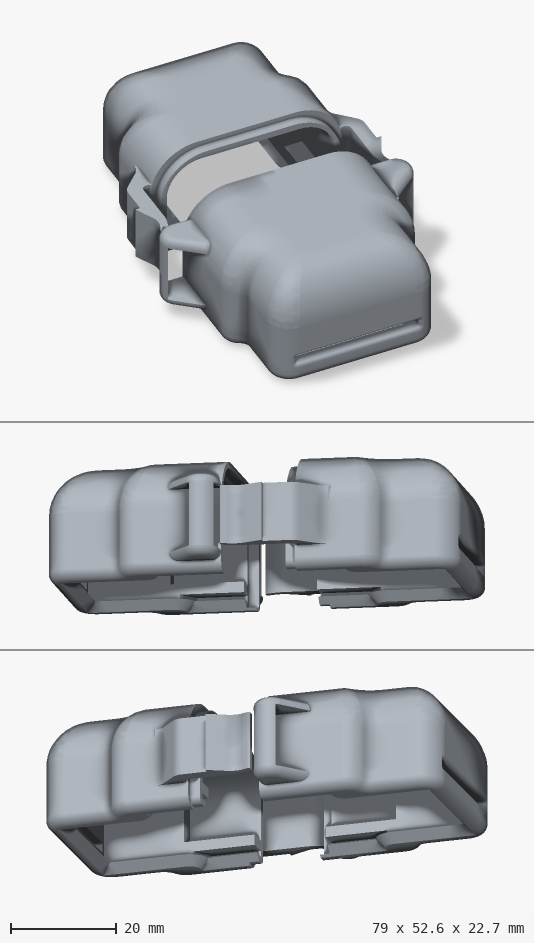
import cadquery as cq
import math


height = 22.7
end_x = 39.5
wide_half = 20.1
narrow_half = 16.9
neck_x = 26.7
neck_radius = 1.9
shoulder_radius = 3.9
end_corner_radius = 4.5
top_radius = 9.8
bottom_radius = 2.0
spring_z = height - top_radius

wall = 2.5
cavity_wide_half = wide_half - wall
cavity_wide_end = 21.1
cavity_top_radius = top_radius - wall
cavity_narrow_half = 13.9
cavity_end = end_x - wall
ledge_z = 5.0
groove_top = 2.9
groove_floor = 1.8
groove_end = 20.4
groove_corner = 5.1

flare = groove_floor
opening_wide_half = 17.0
opening_narrow_half = 13.7
opening_step_x = 18.3
opening_step_radius = 2.4
opening_end = cavity_end

slot_half = 12.95
slot_bottom = 4.3
slot_top = 6.15
slot_corner_radius = 0.4
slot_rim_radius = 0.7

catch_rim_x = 5.05
latch_rim_x = 9.0
lip_length = 2.0
lip_inset = 1.2
lip_bottom = 0.5
lip_bottom_radius = 1.3
recess_depth = 2.0
lip_half = wide_half - lip_inset
lip_top = height - lip_inset

arm_bottom = 4.35
arm_top = 15.55
arm_outer_y = 24.8
arm_inner_y = 21.8
arm_root_x = 9.5
arm_slope_foot_x = 14.5
arm_bend_radius = 2.5
arm_inner_radius = 1.0
arm_root_depth = 0.4
barb_x = 3.7
barb_height = 1.0
arm_tip_x = -4.6

loop_bottom = 2.05
loop_top = 17.85
loop_edge_radius = 1.65
loop_nose_radius = 3.3
loop_nose_y = 23.0
loop_slope_angle = 50.0
loop_foot_x = 15.15
loop_root_y = 16.6
window_bottom = 3.8
window_top = 16.0
window_front_y = 24.7
window_rear_y = 25.7
window_rear_x = 10.0

SIDES = (-1, 1)


def block(x0, x1, half, z0, z1):
    """Box symmetrical about the XZ plane."""
    return cq.Workplane("XY").box(x1 - x0, 2 * half, z1 - z0, centered=False).translate((x0, -half, z0))


def near_corner(body, x, y, z):
    """The vertical edge of a body nearest to a point."""
    return body.edges("|Z").edges(cq.NearestToPointSelector((x, y, z))).vals()


def shell_blank(rim_x):
    """Solid outside shape of a housing."""
    shoulder_x = neck_x - math.sqrt(neck_radius**2 - (narrow_half + neck_radius - wide_half) ** 2)
    body = (
        cq.Workplane("XY")
        .moveTo(rim_x, -wide_half)
        .lineTo(shoulder_x, -wide_half)
        .radiusArc((neck_x, -narrow_half), neck_radius)
        .lineTo(end_x, -narrow_half)
        .lineTo(end_x, narrow_half)
        .lineTo(neck_x, narrow_half)
        .radiusArc((shoulder_x, wide_half), neck_radius)
        .lineTo(rim_x, wide_half)
        .close()
        .extrude(height)
    )
    body = body.faces(">Z").edges("not <X").fillet(top_radius)
    for x, half, radius in (
        (shoulder_x, wide_half, shoulder_radius),
        (end_x, narrow_half, end_corner_radius),
    ):
        for side in SIDES:
            edge = near_corner(body, x, side * half, spring_z / 2)
            body = body.newObject(edge).fillet(radius)
    return body.faces("<Z").edges("not <X").fillet(bottom_radius)


def narrow_cavity(rim_x):
    """Straight channel along the housing, rounded at the top of its sides and end."""
    channel = block(rim_x, cavity_end, cavity_narrow_half, groove_floor, height - wall)
    return channel.faces(">Z").edges("not <X").fillet(cavity_top_radius)


def wide_cavity(rim_x):
    """Pocket above the side ledges."""
    pocket = block(rim_x, cavity_wide_end, cavity_wide_half, ledge_z, height - wall)
    return pocket.faces(">Z").edges("|X").fillet(cavity_top_radius)


def ledge_groove(rim_x):
    """Groove between the side ledges and the bottom plate."""
    groove = block(rim_x, groove_end, cavity_wide_half, groove_floor, groove_top)
    return groove.edges("|Z and >X").chamfer(groove_corner, cavity_wide_half - cavity_narrow_half)


def bottom_opening(rim_x):
    """Flared opening through the bottom plate and the rim."""
    start_x = rim_x - lip_length - 2 * flare
    plan = (
        cq.Workplane("XY")
        .moveTo(start_x, -opening_wide_half)
        .lineTo(opening_step_x, -opening_wide_half)
        .lineTo(opening_step_x, -opening_narrow_half - opening_step_radius)
        .radiusArc((opening_step_x + opening_step_radius, -opening_narrow_half), opening_step_radius)
        .lineTo(opening_end, -opening_narrow_half)
        .lineTo(opening_end, opening_narrow_half)
        .lineTo(opening_step_x + opening_step_radius, opening_narrow_half)
        .radiusArc((opening_step_x, opening_narrow_half + opening_step_radius), opening_step_radius)
        .lineTo(opening_step_x, opening_wide_half)
        .lineTo(start_x, opening_wide_half)
        .close()
    )
    return plan.extrude(flare, taper=45)


def cut_end_slot(body):
    """Cut the slot through the closed end and round its outer rim."""
    passage = block(cavity_end - wall, end_x + wall, slot_half, slot_bottom, slot_top)
    body = body.cut(passage.edges("|X").fillet(slot_corner_radius))
    rim_zone = cq.selectors.BoxSelector(
        (end_x - slot_rim_radius / 2, -slot_half - slot_rim_radius / 2, slot_bottom - slot_rim_radius / 2),
        (end_x + slot_rim_radius / 2, slot_half + slot_rim_radius / 2, slot_top + slot_rim_radius / 2),
    )
    return body.edges(rim_zone).fillet(slot_rim_radius)


def hollow_out(body, front_x, rim_x):
    """Cut the cavity, bottom opening and end slot; the cavity starts at front_x."""
    for cutter in (
        wide_cavity(front_x),
        narrow_cavity(front_x),
        ledge_groove(front_x),
        bottom_opening(rim_x),
    ):
        body = body.cut(cutter)
    return cut_end_slot(body)


def rim_plug(x0, x1, radius):
    """Solid lip shape; also cuts the recess that receives it."""
    plug = block(x0, x1, lip_half, lip_bottom, lip_top)
    plug = plug.faces(">Z").edges("|X").fillet(radius)
    return plug.faces("<Z").edges("|X").fillet(lip_bottom_radius)


def arm():
    """Spring arm on the +Y side, drawn as a plan outline and extruded upwards."""
    bend_run = arm_bend_radius * math.tan(math.radians(22.5))
    bend_leg = bend_run * math.sqrt(0.5)
    bend_x = arm_slope_foot_x - (arm_outer_y - wide_half)
    bend_mid = (
        bend_x - bend_run + arm_bend_radius * math.sin(math.radians(22.5)),
        arm_outer_y - arm_bend_radius * (1 - math.cos(math.radians(22.5))),
    )
    foot_mid = (
        arm_slope_foot_x + bend_run - arm_bend_radius * math.sin(math.radians(22.5)),
        wide_half + arm_bend_radius * (1 - math.cos(math.radians(22.5))),
    )
    root_y = wide_half - arm_root_depth
    outline = (
        cq.Workplane("XY", origin=(0, 0, arm_bottom))
        .moveTo(latch_rim_x, root_y)
        .lineTo(arm_root_x, wide_half)
        .lineTo(arm_root_x, arm_inner_y - arm_inner_radius)
        .radiusArc((arm_root_x - arm_inner_radius, arm_inner_y), -arm_inner_radius)
        .lineTo(-1.2, arm_inner_y)
        .threePointArc((-3.0, 22.3), (arm_tip_x, 23.0))
        .lineTo(arm_tip_x, 24.15)
        .lineTo(-4.2, 24.3)
        .lineTo(-3.3, 24.0)
        .threePointArc((-1.7, 23.6), (0, 24.0))
        .lineTo(barb_x, arm_outer_y + barb_height)
        .lineTo(barb_x, arm_outer_y)
        .lineTo(bend_x - bend_run, arm_outer_y)
        .threePointArc(bend_mid, (bend_x + bend_leg, arm_outer_y - bend_leg))
        .lineTo(arm_slope_foot_x - bend_leg, wide_half + bend_leg)
        .threePointArc(foot_mid, (arm_slope_foot_x + bend_run, wide_half))
        .lineTo(arm_slope_foot_x + bend_run + arm_root_depth, root_y)
        .close()
    )
    return outline.extrude(arm_top - arm_bottom)


def loop():
    """Catch loop on the +Y side: rounded triangular block with a window along X."""
    angle = math.radians(loop_slope_angle)
    nose_x = catch_rim_x + loop_nose_radius
    slope_x = nose_x + loop_nose_radius * math.sin(angle)
    slope_y = loop_nose_y + loop_nose_radius * math.cos(angle)
    foot_y = slope_y - (loop_foot_x - slope_x) * math.tan(angle)
    block_shape = (
        cq.Workplane("XY", origin=(0, 0, loop_bottom))
        .moveTo(catch_rim_x, loop_root_y)
        .lineTo(catch_rim_x, loop_nose_y)
        .threePointArc(
            (
                nose_x - loop_nose_radius * math.sin((math.pi / 2 - angle) / 2),
                loop_nose_y + loop_nose_radius * math.cos((math.pi / 2 - angle) / 2),
            ),
            (slope_x, slope_y),
        )
        .lineTo(loop_foot_x, foot_y)
        .lineTo(loop_foot_x, loop_root_y)
        .close()
        .extrude(loop_top - loop_bottom)
    )
    block_shape = block_shape.faces("<Z or >Z").edges("not <Y").fillet(loop_edge_radius)
    window = (
        cq.Workplane("XY", origin=(0, 0, window_bottom))
        .moveTo(catch_rim_x, loop_root_y)
        .lineTo(catch_rim_x, window_front_y)
        .lineTo(window_rear_x, window_rear_y)
        .lineTo(loop_foot_x, window_rear_y)
        .lineTo(loop_foot_x, loop_root_y)
        .close()
        .extrude(window_top - window_bottom)
    )
    return block_shape.cut(window)


def on_both_sides(feature):
    """A feature on the +Y side and its mirror image on the -Y side."""
    return [feature, feature.mirror("XZ")]


def make_catch_housing():
    body = shell_blank(catch_rim_x)
    for side_loop in on_both_sides(loop()):
        body = body.union(side_loop)
    body = hollow_out(body, catch_rim_x, catch_rim_x)
    return body.cut(rim_plug(catch_rim_x, catch_rim_x + recess_depth, top_radius - lip_inset))


def make_latch_housing():
    lip_x = latch_rim_x - lip_length
    body = shell_blank(latch_rim_x).union(rim_plug(lip_x, latch_rim_x + lip_length, top_radius))
    for side_arm in on_both_sides(arm()):
        body = body.union(side_arm)
    return hollow_out(body, lip_x, latch_rim_x).mirror("YZ")


catch_housing = make_catch_housing()
latch_housing = make_latch_housing()

result = cq.Compound.makeCompound([latch_housing.val(), catch_housing.val()])